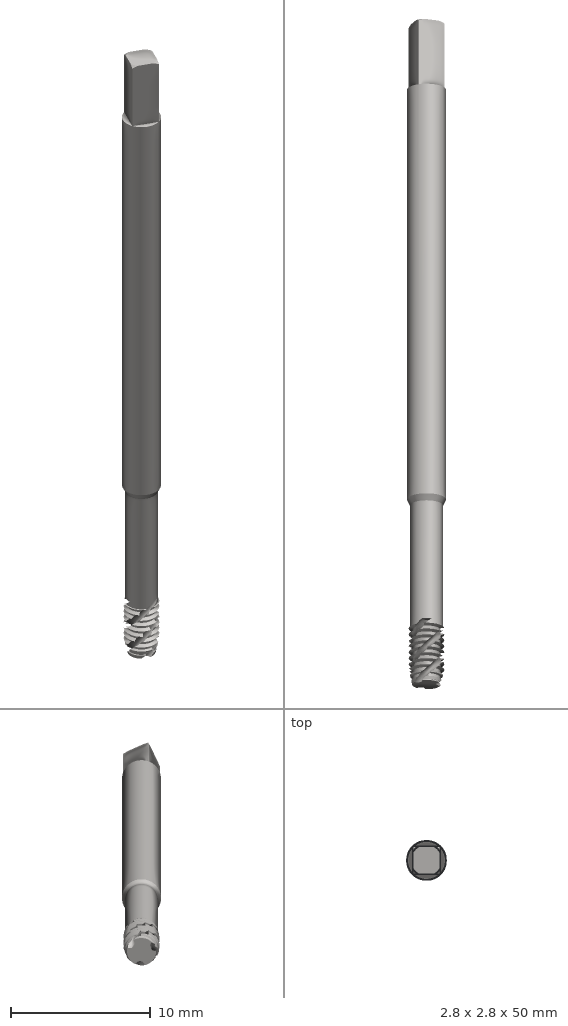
import cadquery as cq
import math


overall_length = 50.0
shank_radius = 2.8 / 2
neck_radius = 2.35 / 2
shank_bottom = 14.0
neck_taper_height = 0.45

drive_side = 2.0
drive_height = 5.0
drive_tip_radius = 1.15
drive_tip_bevel = 0.15

pitch = 0.45
crest_radius = 2.55 / 2
root_radius = 2.05 / 2
root_flat = 0.2
head_top = 4.25
ring_count = 10

tip_radius = root_radius
lead_height = 1.1

flute_count = 3
flute_radius = 0.35
flute_center_radius = 1.05
flute_lead = 6.0
flute_top = 4.65
flute_top_angle = -80.0
flute_overrun = 0.25


def revolve_profile(points):
    """Turn a closed (radius, height) outline about the Z axis."""
    return cq.Workplane("XZ").polyline(points).close().revolve(360, (0, 0, 0), (0, 1, 0))


def make_flutes():
    """Round grooves that wind up the head as right-hand helices and end in the neck."""
    height = flute_top + flute_overrun
    twist = 360 * height / flute_lead
    bottom_angle = flute_top_angle - twist
    flutes = []
    for index in range(flute_count):
        angle = math.radians(bottom_angle + index * 360 / flute_count)
        center = (flute_center_radius * math.cos(angle), flute_center_radius * math.sin(angle))
        flute = (
            cq.Workplane("XY", origin=(0, 0, -flute_overrun))
            .moveTo(*center)
            .circle(flute_radius)
            .twistExtrude(height, twist)
        )
        flutes.append(flute)
    return flutes


def cut_flutes(body):
    """Remove every flute from a body."""
    for flute in make_flutes():
        body = body.cut(flute)
    return body


def make_shank():
    """Neck, shank and square drive in one piece, with the flute ends cut into the neck."""
    drive_bottom = overall_length - drive_height
    blank = revolve_profile([
        (0, head_top),
        (neck_radius, head_top),
        (neck_radius, shank_bottom - neck_taper_height),
        (shank_radius, shank_bottom),
        (shank_radius, drive_bottom),
        (0, drive_bottom),
    ])
    drive_round = revolve_profile([
        (0, drive_bottom),
        (shank_radius, drive_bottom),
        (shank_radius, overall_length - drive_tip_bevel),
        (drive_tip_radius, overall_length),
        (0, overall_length),
    ])
    drive = (
        cq.Workplane("XY", origin=(0, 0, drive_bottom))
        .rect(drive_side, drive_side)
        .extrude(drive_height)
        .intersect(drive_round)
    )
    return cut_flutes(blank.union(drive))


def make_thread_blank():
    """Ringed thread, narrowed to a cone at the tip."""
    outline = [(0, head_top), (crest_radius, head_top)]
    for ring in range(ring_count):
        crest = head_top - ring * pitch
        root = crest - pitch / 2
        outline += [
            (root_radius, root + root_flat / 2),
            (root_radius, root - root_flat / 2),
            (crest_radius, crest - pitch),
        ]
    outline.append((0, head_top - ring_count * pitch))
    lead_cone = revolve_profile([
        (0, 0),
        (tip_radius, 0),
        (crest_radius, lead_height),
        (crest_radius, head_top),
        (0, head_top),
    ])
    return revolve_profile(outline).intersect(lead_cone)


def make_cutting_head():
    """Threaded head with its flutes."""
    return cut_flutes(make_thread_blank())


shank = make_shank()
cutting_head = make_cutting_head()

result = cq.Compound.makeCompound([shank.val(), cutting_head.val()])